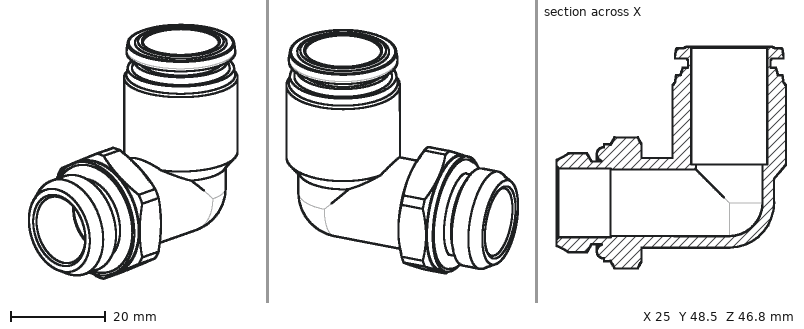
import cadquery as cq

overall_length = 48.5
tube_radius = 19.0 / 2

cone_bottom = 5.05
socket_bottom = 8.1
socket_top = 24.85
socket_radius = 24.0 / 2
rim_height = 25.4
rim_radius = 11.5
lower_step_height = 26.95
lower_step_radius = 11.25
upper_step_base_radius = 10.35
upper_step_height = 28.5
upper_step_radius = 9.85
neck_radius = 17.5 / 2

collar_bottom = 30.45
collar_root_height = 30.05
collar_root_radius = 9.0
collar_top = 33
collar_radius = 23.0 / 2
collar_edge_height = 31.05
collar_shoulder_height = 32.5
collar_shoulder_radius = 11.25
collar_face_height = 32.65
collar_face_radius = 11.0
lip_base_radius = 9.7
lip_radius = 9.05

socket_bore_radius = 14.0 / 2
tube_seat_radius = 8.0
tube_seat_height = socket_bottom
socket_mouth_radius = 8.25
socket_mouth_depth = 0.25

hex_side_count = 6
hex_start = 18.55
hex_end = 25.05
hex_across_flats = 25.0
hex_corner_radius = 13.85
hex_chamfer_radial = 1.45
hex_chamfer_axial = 0.8

washer_end = 26.5
washer_radius = 24.8 / 2
washer_chamfer = 0.15
groove_end = 29.05
groove_radius = neck_radius
seal_section_radius = 1.5
seal_ring_radius = groove_radius + seal_section_radius
thread_start = 30.05
thread_end = 33.9
thread_radius = 20.95 / 2
spigot_end = overall_length - socket_radius
spigot_face_radius = 9.05
spigot_bore_radius = socket_bore_radius
spigot_entry_radius = 14.5 / 2
spigot_entry_start = hex_end
spigot_mouth_radius = 7.75
spigot_mouth_depth = 0.5

full_turn = 360
quarter_turn = 90


def turned(points):
    """Revolve a (radius, height) outline about Z."""
    return cq.Workplane("XZ").polyline(points).close().revolve(full_turn, (0, 0), (0, 1))


def along_spigot(body):
    """Swing a body built along +Z onto the -Y axis."""
    return body.rotate((0, 0, 0), (1, 0, 0), quarter_turn)


def make_socket():
    return turned([
        (0, 0),
        (tube_radius, 0),
        (tube_radius, cone_bottom),
        (socket_radius, socket_bottom),
        (socket_radius, socket_top),
        (rim_radius, rim_height),
        (lower_step_radius, lower_step_height),
        (upper_step_base_radius, lower_step_height),
        (upper_step_radius, upper_step_height),
        (neck_radius, upper_step_height),
        (neck_radius, collar_root_height),
        (collar_root_radius, collar_bottom),
        (collar_radius, collar_bottom),
        (collar_radius, collar_edge_height),
        (collar_shoulder_radius, collar_shoulder_height),
        (collar_face_radius, collar_face_height),
        (lip_base_radius, collar_face_height),
        (lip_radius, collar_top),
        (0, collar_top),
    ])


def make_hexagon():
    prism = (
        cq.Workplane("XY").workplane(offset=hex_start)
        .polygon(hex_side_count, hex_across_flats, circumscribed=True)
        .extrude(hex_end - hex_start)
    )
    face_radius = hex_corner_radius - hex_chamfer_radial
    envelope = turned([
        (0, hex_start),
        (face_radius, hex_start),
        (hex_corner_radius, hex_start + hex_chamfer_axial),
        (hex_corner_radius, hex_end - hex_chamfer_axial),
        (face_radius, hex_end),
        (0, hex_end),
    ])
    return along_spigot(prism.intersect(envelope))


def make_spigot():
    body = turned([
        (0, 0),
        (tube_radius, 0),
        (tube_radius, hex_end),
        (washer_radius - washer_chamfer, hex_end),
        (washer_radius, hex_end + washer_chamfer),
        (washer_radius, washer_end),
        (groove_radius, washer_end),
        (groove_radius, groove_end),
        (thread_radius, thread_start),
        (thread_radius, thread_end),
        (spigot_face_radius, spigot_end),
        (0, spigot_end),
    ])
    seal = (
        cq.Workplane("XZ").moveTo(groove_radius, washer_end)
        .threePointArc(
            (seal_ring_radius, washer_end + seal_section_radius),
            (seal_ring_radius + seal_section_radius, washer_end),
        )
        .close()
        .revolve(full_turn, (0, 0), (0, 1))
    )
    return along_spigot(body.union(seal))


def make_bore(radius, entry_radius, entry_start, end, mouth_radius, mouth_depth):
    return turned([
        (0, 0),
        (radius, 0),
        (radius, entry_start),
        (entry_radius, entry_start),
        (entry_radius, end - mouth_depth),
        (mouth_radius, end),
        (0, end),
    ])


socket_bore = make_bore(
    socket_bore_radius, tube_seat_radius, tube_seat_height,
    collar_top, socket_mouth_radius, socket_mouth_depth,
)
spigot_bore = along_spigot(make_bore(
    spigot_bore_radius, spigot_entry_radius, spigot_entry_start,
    spigot_end, spigot_mouth_radius, spigot_mouth_depth,
))

result = (
    make_socket()
    .union(make_spigot())
    .union(make_hexagon())
    .union(cq.Workplane("XY").sphere(tube_radius))
    .cut(socket_bore)
    .cut(spigot_bore)
    .cut(cq.Workplane("XY").sphere(socket_bore_radius))
)